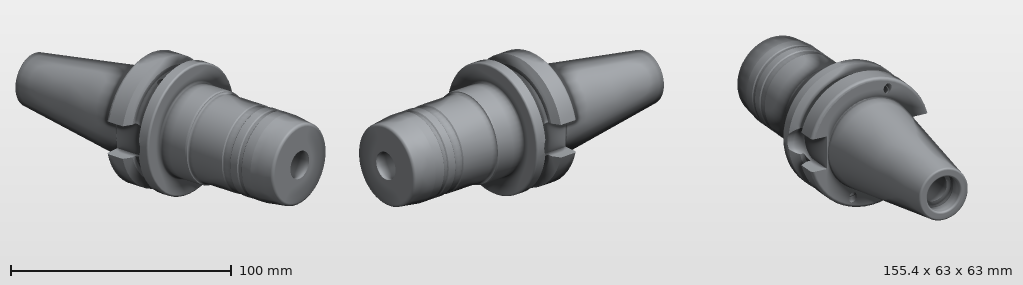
import cadquery as cq
import math


gauge_radius = 44.45 / 2
taper_length = 65.4
taper_ratio = 7 / 24
small_end_radius = gauge_radius - taper_length * taper_ratio / 2
small_end_fillet = 1.0
shank_x = -taper_length
undercut_start = 1.0
undercut_radius = 44 / 2
undercut_fillet = 0.5

flange_start = 2.0
flange_end = 27.0
flange_radius = 63 / 2
flange_front_fillet = 1.5
flange_rear_fillet = 1.0
groove_center = 16.6
groove_mouth = 10.0
groove_floor_width = 5.4
groove_floor_radius = 51 / 2
groove_flank_angle = 30.0
groove_flank_run = (groove_mouth - groove_floor_width) / 2
groove_flank_radius = flange_radius - groove_flank_run / math.tan(math.radians(groove_flank_angle))

slot_width = 16.1
slot_end = 22.5
slot_floor = 22.5

collar_radius = 44.5 / 2
collar_end = 42.0
collar_end_radius = 44 / 2
collar_fillet = 1.0
collar_bevel_length = 0.9
body_radius = 42 / 2
body_end = 90.0
body_fillet = collar_end_radius - body_radius
band_radius = 41 / 2
band_side_run = 0.5
bands = [(61.5, 66.5), (70.4, 73.2)]
nose_start = 78.2
nose_end_radius = 19.5
nose_fillet = 1.5

bore_diameter = 13.5
pilot_diameter = 17.0
pilot_depth = 6.5
pilot_fillet = 1.0
relief_diameter = 17.6
relief_depth = 9.3
relief_bevel_length = 1.0

hole_angle = 20.0
hole_diameter = 4.0
feed_core_diameter = 3.24
feed_radius = 26.6
feed_tilt = 34.0
feed_seat_depth = 2.0
feed_depth = 12.0
cross_depth = 6.0


def turned_body():
    """Shank, flange and clamping body as one revolved outline."""
    half_mouth = groove_mouth / 2
    half_floor = groove_floor_width / 2
    profile = (
        cq.Workplane("XY")
        .moveTo(shank_x, 0)
        .lineTo(shank_x, small_end_radius)
        .lineTo(0, gauge_radius)
        .lineTo(undercut_start, gauge_radius)
        .lineTo(undercut_start, undercut_radius)
        .lineTo(flange_start - undercut_fillet, undercut_radius)
        .radiusArc((flange_start, undercut_radius + undercut_fillet), -undercut_fillet)
        .lineTo(flange_start, flange_radius - flange_front_fillet)
        .radiusArc((flange_start + flange_front_fillet, flange_radius), flange_front_fillet)
        .lineTo(groove_center - half_mouth, flange_radius)
        .lineTo(groove_center - half_floor, groove_flank_radius)
        .lineTo(groove_center - half_floor, groove_floor_radius)
        .lineTo(groove_center + half_floor, groove_floor_radius)
        .lineTo(groove_center + half_floor, groove_flank_radius)
        .lineTo(groove_center + half_mouth, flange_radius)
        .lineTo(flange_end - flange_rear_fillet, flange_radius)
        .radiusArc((flange_end, flange_radius - flange_rear_fillet), flange_rear_fillet)
        .lineTo(flange_end, collar_radius + collar_fillet)
        .radiusArc((flange_end + collar_fillet, collar_radius), -collar_fillet)
        .lineTo(collar_end - collar_bevel_length, collar_radius)
        .lineTo(collar_end, collar_end_radius)
        .radiusArc((collar_end + body_fillet, body_radius), -body_fillet)
    )
    for start, end in bands:
        profile = (
            profile.lineTo(start, body_radius)
            .lineTo(start + band_side_run, band_radius)
            .lineTo(end - band_side_run, band_radius)
            .lineTo(end, body_radius)
        )
    profile = (
        profile.lineTo(nose_start, body_radius)
        .lineTo(body_end, nose_end_radius)
        .lineTo(body_end, 0)
        .close()
    )
    body = profile.revolve(360, (0, 0, 0), (1, 0, 0))
    body = body.faces(">X").edges().fillet(nose_fillet)
    return body.faces("<X").edges().fillet(small_end_fillet)


def bore_cutter():
    """Through bore with a rounded pilot and a thread relief at the small end."""
    bore_radius = bore_diameter / 2
    pilot_radius = pilot_diameter / 2
    relief_radius = relief_diameter / 2
    profile = (
        cq.Workplane("XY")
        .moveTo(shank_x, 0)
        .lineTo(shank_x, pilot_radius + pilot_fillet)
        .radiusArc((shank_x + pilot_fillet, pilot_radius), -pilot_fillet)
        .lineTo(shank_x + pilot_depth, pilot_radius)
        .lineTo(shank_x + pilot_depth + relief_bevel_length, relief_radius)
        .lineTo(shank_x + relief_depth, relief_radius)
        .lineTo(shank_x + relief_depth, bore_radius)
        .lineTo(body_end, bore_radius)
        .lineTo(body_end, 0)
        .close()
    )
    return profile.revolve(360, (0, 0, 0), (1, 0, 0))


def drive_slot(side):
    """Round-ended slot, open to the shank, on the -Y (-1) or +Y (+1) side."""
    arc_center = slot_end - slot_width / 2
    height = flange_radius - slot_floor
    middle = side * (slot_floor + height / 2)
    block = cq.Workplane("XY").box(arc_center, height, slot_width)
    block = block.translate((arc_center / 2, middle, 0))
    end = cq.Workplane("XZ").circle(slot_width / 2).extrude(height / 2, both=True)
    return block.union(end.translate((arc_center, middle, 0)))


def drill(diameter, mouth, direction, depth):
    """Blind hole into the part from its mouth, cleared for one diameter in front of the mouth."""
    start = mouth - direction * diameter
    return cq.Workplane(cq.Solid.makeCylinder(diameter / 2, depth + diameter, start, direction))


def coolant_holes():
    """One tilted, stepped hole in the flange face and one radial hole in the groove floor."""
    tilt = math.radians(feed_tilt)
    feed_mouth = cq.Vector(flange_start, 0, feed_radius)
    feed_direction = cq.Vector(math.cos(tilt), 0, -math.sin(tilt))
    seat = drill(hole_diameter, feed_mouth, feed_direction, feed_seat_depth)
    core = drill(feed_core_diameter, feed_mouth, feed_direction, feed_depth)
    cross_mouth = cq.Vector(groove_center, 0, groove_floor_radius)
    cross = drill(hole_diameter, cross_mouth, cq.Vector(0, 0, -1), cross_depth)
    return seat.union(core).union(cross)


result = turned_body().cut(bore_cutter())
for side in (-1, 1):
    result = result.cut(drive_slot(side))
for turn in (0, 180):
    result = result.cut(coolant_holes().rotate((0, 0, 0), (1, 0, 0), hole_angle + turn))